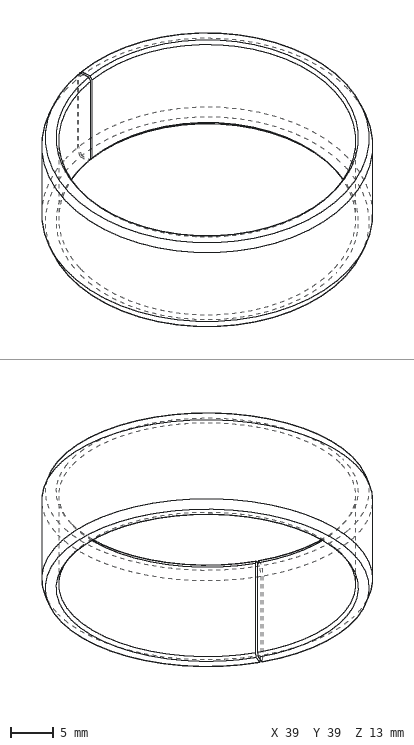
import cadquery as cq
import math

outer_diameter = 39.0
bore_diameter = 35.0
height = 13.0
outer_chamfer_height = 1.17
outer_chamfer_angle = 20.0
bore_chamfer_depth = 0.3
bore_chamfer_height = 0.45
slit_width = 0.27

outer_radius = outer_diameter / 2
bore_radius = bore_diameter / 2
outer_chamfer_depth = outer_chamfer_height * math.tan(math.radians(outer_chamfer_angle))


def wall_ring():
    """Revolve the wall section, with both rims chamfered inside and out."""
    face_outer_radius = outer_radius - outer_chamfer_depth
    face_inner_radius = bore_radius + bore_chamfer_depth
    section = (
        cq.Workplane("XZ")
        .moveTo(face_inner_radius, 0)
        .lineTo(face_outer_radius, 0)
        .lineTo(outer_radius, outer_chamfer_height)
        .lineTo(outer_radius, height - outer_chamfer_height)
        .lineTo(face_outer_radius, height)
        .lineTo(face_inner_radius, height)
        .lineTo(bore_radius, height - bore_chamfer_height)
        .lineTo(bore_radius, bore_chamfer_height)
        .close()
    )
    return section.revolve(360, (0, 0, 0), (0, 1, 0))


def slit_cutter():
    """Block that opens the wall on the -X side, from the XZ plane toward +Y, over the full height."""
    return cq.Workplane("XY").box(
        outer_radius, slit_width, height, centered=False
    ).translate((-outer_radius, 0, 0))


result = wall_ring().cut(slit_cutter())